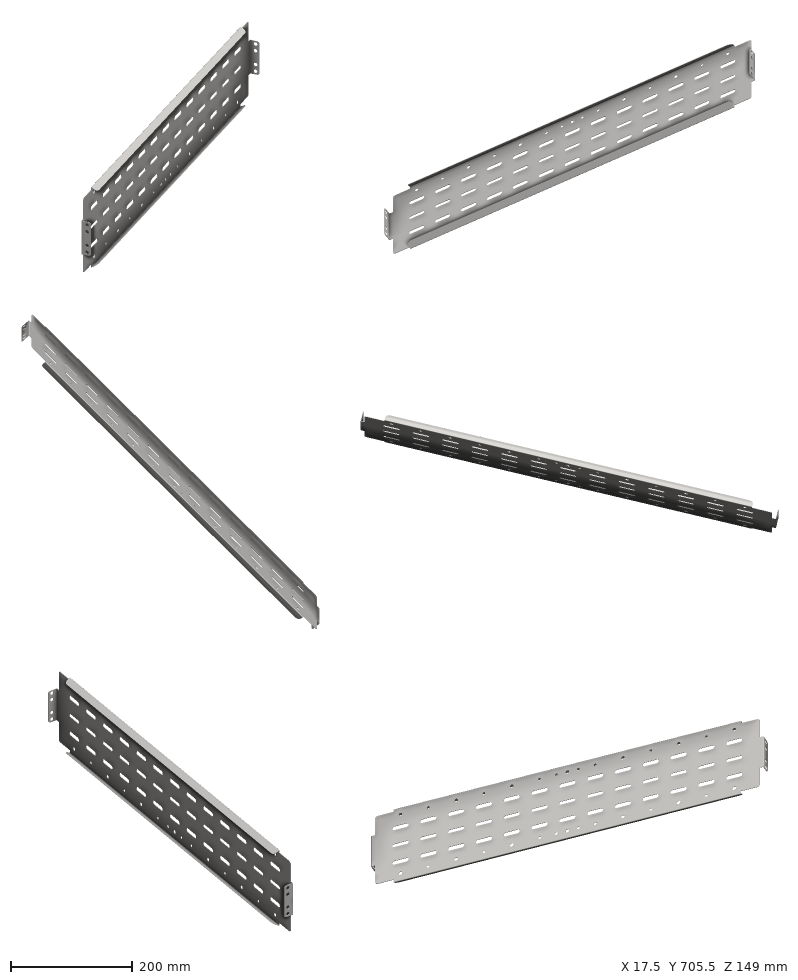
import cadquery as cq
import math

length = 705.5
height = 149.0
depth = 17.5
sheet = 1.0
bend_inner_radius = 0.15
bend_outer_radius = bend_inner_radius + sheet

plate_length = 691.5
plate_height = 138.0
plate_corner_radius = 4.0

lip_length = 624.5
lip_reach = 12.0
lip_bend_angle = 120
lip_corner_radius = 7.0

tab_width = 62.0
tab_bend_angle = 90
tab_corner_radius = 4.0
tab_hole_diameter = 6.0
tab_hole_x = 10.5
tab_hole_offsets = (13.0, 25.5)

column_count = 13
column_span = 600.0
column_pitch = column_span / (column_count - 1)
column_places = [i * column_pitch - column_span / 2 for i in range(column_count)]

slot_length = 29.0
outer_slot_width = 8.0
middle_slot_width = 6.0
slot_row_offset = 35.0

hole_row_offset = 60.0
large_hole_diameter = 6.0
small_hole_diameter = 5.0
extra_hole_offset = 20.0


def make_plate():
    plate = cq.Workplane("YZ").rect(plate_length, plate_height).extrude(sheet)
    return plate.edges("|X").fillet(plate_corner_radius)


def make_flange(edge, root, reach, angle, width, corner_radius):
    """Sheet running in +Y from root, folded by angle toward +X with its bend outermost at Y = edge."""
    turn = math.radians(angle)
    bend_y = edge - bend_outer_radius

    def on_bend(radius, swept):
        return (bend_outer_radius - radius * math.cos(swept), bend_y + radius * math.sin(swept))

    outer_end = on_bend(bend_outer_radius, turn)
    inner_end = on_bend(bend_inner_radius, turn)
    run_x = reach - outer_end[0]
    run_y = run_x / math.tan(turn)
    profile = (
        cq.Workplane("XY")
        .moveTo(0, root)
        .lineTo(0, bend_y)
        .threePointArc(on_bend(bend_outer_radius, turn / 2), outer_end)
        .lineTo(reach, outer_end[1] + run_y)
        .lineTo(inner_end[0] + run_x, inner_end[1] + run_y)
        .lineTo(*inner_end)
        .threePointArc(on_bend(bend_inner_radius, turn / 2), (sheet, bend_y))
        .lineTo(sheet, root)
        .close()
    )
    flange = profile.extrude(width / 2, both=True)
    return flange.faces(">X").edges("not |Z").fillet(corner_radius)


def make_lip():
    lip_root = plate_height / 2 - bend_outer_radius
    lip = make_flange(height / 2, lip_root, lip_reach, lip_bend_angle, lip_length, lip_corner_radius)
    return lip.rotate((0, 0, 0), (1, 0, 0), 90)


def make_tab():
    tab_root = plate_length / 2 - bend_outer_radius
    tab = make_flange(length / 2, tab_root, depth, tab_bend_angle, tab_width, tab_corner_radius)
    hole_places = [(tab_hole_x, side * offset) for side in (-1, 1) for offset in tab_hole_offsets]
    holes = (
        cq.Workplane("XZ")
        .pushPoints(hole_places)
        .circle(tab_hole_diameter / 2)
        .extrude(-length)
    )
    return tab.cut(holes)


def slot_row(z, width):
    places = [(y, z) for y in column_places]
    return cq.Workplane("YZ").pushPoints(places).slot2D(slot_length, width).extrude(sheet)


def hole_rows(columns, diameter):
    places = [(y, side * hole_row_offset) for y in columns for side in (-1, 1)]
    return cq.Workplane("YZ").pushPoints(places).circle(diameter / 2).extrude(sheet)


lip = make_lip()
tab = make_tab()
result = (
    make_plate()
    .union(lip)
    .union(lip.mirror("XY"))
    .union(tab)
    .union(tab.mirror("XZ"))
)

result = result.cut(slot_row(0, middle_slot_width))
for side in (-1, 1):
    result = result.cut(slot_row(side * slot_row_offset, outer_slot_width))

small_hole_columns = column_places[1::2] + [-extra_hole_offset, extra_hole_offset]
result = result.cut(hole_rows(column_places[0::2], large_hole_diameter))
result = result.cut(hole_rows(small_hole_columns, small_hole_diameter))